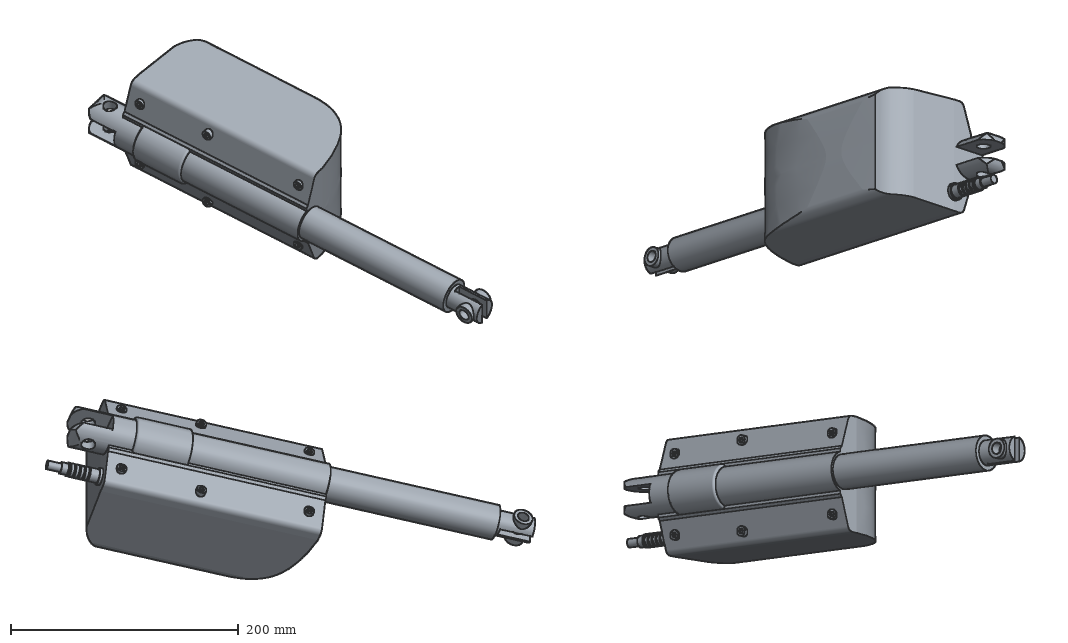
import cadquery as cq


housing_length = 200.5
base_half_height = 51.8
back_half_height = 49.5
parting_y = 19.0
back_y = 95.3
back_edge_y = 94.0
back_corner_radius = 9.5
front_corner_y = 8.0
front_corner_radius = 6.0
flank_end = (-2.5, 23.0)
valley = (-5.0, 20.5)

rear_top = (2.5, 66.5)
rear_corner_middle = (10.0, 83.0)
rear_corner_end = (24.0, 93.5)
cover_crown = [(64.0, back_y), (119.0, 93.5), (150.0, 89.0), (176.5, 77.0), (193.5, 49.5),
               (housing_length, parting_y)]

tube_radius = 18.0
collar_radius = 20.7
collar_start = 21.5
collar_end = 73.0
collar_edge_round = 2.0
fork_length = 35.7
fork_slot_width = 16.8
fork_side_round = 16.8
fork_top_round = 12.0
fork_hole_diameter = 12.5
fork_hole_x = tube_radius - fork_length

screw_diameter = 9.0
screw_top_y = 0.5
screw_root_y = 9.0
socket_across_corners = 5.0
socket_depth = 2.5
screw_places = [(13.5, 36.0), (87.5, 40.5), (187.0, 36.0)]

cable_z = -34.5
cable_diameter = 8.0
cable_length = 49.5
boot_diameter = 12.5
boot_length = 31.0
boot_nose_diameter = 10.5
boot_nose_length = 37.0
boot_flange_diameter = 15.5
boot_flange_length = 2.5
groove_diameter = 10.0
groove_width = 1.5
groove_count = 5
groove_pitch = 4.5
first_groove_x = -29.0

rod_diameter = 31.5
rod_end = 358.0
clevis_diameter = 22.5
clevis_end = 391.5
clevis_slot_width = 6.5
clevis_slot_start = 361.5
boss_diameter = 17.0
boss_span = 28.2
boss_hole_diameter = 10.0
boss_x = 379.5


def x_cylinder(diameter, start, end, y=0, z=0):
    """Cylinder along X between two X positions."""
    return cq.Workplane("YZ", origin=(start, y, z)).circle(diameter / 2).extrude(end - start)


def y_cylinder(diameter, start, end, x, z=0):
    """Cylinder along Y between two Y positions."""
    return cq.Workplane("XZ", origin=(x, start, z)).circle(diameter / 2).extrude(start - end)


def make_block():
    """Housing block: the section along X, trimmed to the cover outline seen along Z."""
    section = (
        cq.Workplane("YZ")
        .moveTo(valley[0], -valley[1])
        .lineTo(flank_end[0], -flank_end[1])
        .lineTo(front_corner_y, -base_half_height)
        .lineTo(parting_y, -base_half_height)
        .lineTo(back_edge_y, -back_half_height)
        .threePointArc((back_y, 0), (back_edge_y, back_half_height))
        .lineTo(parting_y, base_half_height)
        .lineTo(front_corner_y, base_half_height)
        .lineTo(*flank_end)
        .lineTo(*valley)
        .close()
        .extrude(housing_length)
    )
    corner_band = base_half_height - back_half_height
    front_corners = cq.selectors.BoxSelector(
        (0, front_corner_y - corner_band, -2 * base_half_height),
        (housing_length, front_corner_y + corner_band, 2 * base_half_height),
    )
    back_corners = cq.selectors.BoxSelector(
        (0, back_edge_y - corner_band, -2 * base_half_height),
        (housing_length, back_y + corner_band, 2 * base_half_height),
    )
    section = section.edges("|X").edges(front_corners).fillet(front_corner_radius)
    section = section.edges("|X").edges(back_corners).fillet(back_corner_radius)

    outline = (
        cq.Workplane("XY")
        .moveTo(0, valley[0])
        .lineTo(0, parting_y)
        .lineTo(*rear_top)
        .threePointArc(rear_corner_middle, rear_corner_end)
        .spline(cover_crown, includeCurrent=True)
        .lineTo(housing_length, valley[0])
        .close()
        .extrude(base_half_height, both=True)
    )
    return section.intersect(outline)


def make_tube():
    """Outer tube with its collar, ending in the rounded and slotted rear fork."""
    tube = x_cylinder(2 * tube_radius, 0, housing_length)
    collar = x_cylinder(2 * collar_radius, collar_start, collar_end).edges().fillet(collar_edge_round)

    blank = cq.Workplane("XY").box(fork_length, 2 * tube_radius, 2 * tube_radius)
    blank = blank.translate((-fork_length / 2, 0, 0))
    side_rounded = blank.edges("<X and |Z").fillet(fork_side_round)
    top_rounded = blank.edges("<X and |Y").fillet(fork_top_round)
    fork = x_cylinder(2 * tube_radius, -fork_length, 0).intersect(side_rounded).intersect(top_rounded)
    slot = cq.Workplane("XY").box(fork_length, 2 * tube_radius, fork_slot_width)
    slot = slot.translate((-fork_length / 2, 0, 0))
    pin_hole = cq.Workplane("XY", origin=(fork_hole_x, 0, 0)).circle(fork_hole_diameter / 2)
    fork = fork.cut(slot).cut(pin_hole.extrude(tube_radius, both=True))
    return tube.union(collar).union(fork)


def make_screw(x, z):
    """Flank screw head along Y with a hexagon socket."""
    head = y_cylinder(screw_diameter, screw_top_y, screw_root_y, x, z)
    socket = cq.Workplane("XZ", origin=(x, screw_top_y, z)).polygon(6, socket_across_corners)
    return head.cut(socket.extrude(-socket_depth))


def make_cable():
    """Cable end with its grooved strain relief."""
    place = {"y": parting_y, "z": cable_z}
    boot = x_cylinder(boot_diameter, -boot_length, 0, **place)
    for index in range(groove_count):
        groove_middle = first_groove_x + index * groove_pitch
        groove_start = groove_middle - groove_width / 2
        groove_end = groove_middle + groove_width / 2
        core = x_cylinder(groove_diameter, groove_start, groove_end, **place)
        boot = boot.cut(x_cylinder(boot_diameter, groove_start, groove_end, **place).cut(core))

    cable = x_cylinder(cable_diameter, -cable_length, 0, **place)
    nose = x_cylinder(boot_nose_diameter, -boot_nose_length, -boot_length, **place)
    flange = x_cylinder(boot_flange_diameter, -boot_flange_length, 0, **place)
    return cable.union(boot).union(nose).union(flange)


def make_housing():
    """Complete fixed body: block, tube with fork, cable and flank screws."""
    body = make_block().union(make_tube()).union(make_cable())
    for x, z in screw_places:
        for side in (-1, 1):
            seat = y_cylinder(screw_diameter, screw_top_y, screw_root_y, x, side * z)
            body = body.cut(seat).union(make_screw(x, side * z))
    return body


def make_rod():
    """Push rod with a slotted clevis and a pierced boss on each ear."""
    rod = x_cylinder(rod_diameter, housing_length, rod_end)
    clevis = x_cylinder(clevis_diameter, rod_end, clevis_end)
    bosses = y_cylinder(boss_diameter, -boss_span / 2, boss_span / 2, boss_x)
    slot_length = clevis_end - clevis_slot_start
    slot = cq.Workplane("XY").box(slot_length, clevis_slot_width, clevis_diameter)
    slot = slot.translate((clevis_slot_start + slot_length / 2, 0, 0))
    pin_hole = y_cylinder(boss_hole_diameter, -boss_span / 2, boss_span / 2, boss_x)
    return rod.union(clevis.union(bosses).cut(slot).cut(pin_hole))


housing = make_housing()
rod = make_rod()

result = cq.Compound.makeCompound([housing.val(), rod.val()])